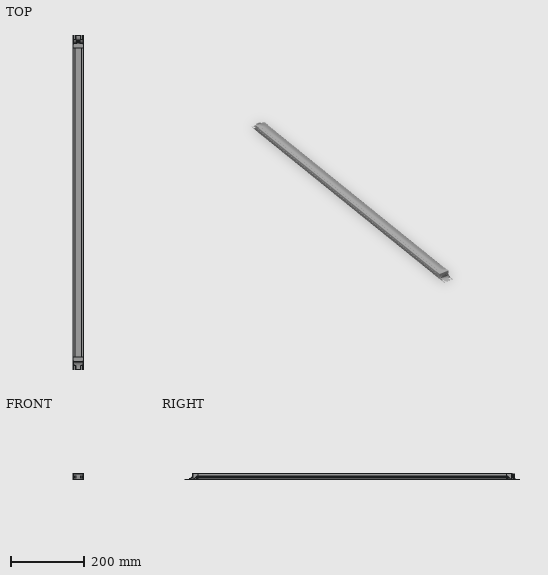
import cadquery as cq
import math

total_width = 30.0
total_length = 915.0
total_height = 17.5
half_length = total_length / 2

sheet = 0.5
bend_radius = 1.5
wall_height = 10.0
wall_foot_inset = 23.0
wall_end_slope = 9.5

groove_bottom = 4.5
groove_height = 2.5
groove_depth = 0.2

slot_width = 4.5
slot_depth = 11.2
slot_offset = 9.6

inner_width = total_width - 2 * sheet
inner_bend = bend_radius - sheet

cover_half_length = 423.0
cover_edge_radius = 2.5
strip_width = 19.0
strip_height = 0.3

cap_end_inset = 20.5
cap_end = half_length - cap_end_inset
cap_draft = 0.8
cap_edge_radius = 0.5
cheek_thickness = 1.5
cheek_slope_top = 9.0
cheek_slope_reach = 5.0
foot_reach = 8.5
foot_height = 3.6

face_setback = 1.0
lip_height = 15.0

recess_offset = 8.3
recess_width = 4.0
recess_bottom = 4.5
recess_height = 6.0
recess_depth = 1.0

plug_width = 10.5
plug_reach = 9.0
plug_bottom = 4.0
plug_top = lip_height
plug_groove_count = 2
plug_groove_width = 1.5
plug_groove_depth = 1.0


def rounded_bottom_bar(width, height, length, radius):
    """Bar along Y, standing on Z = 0, with its two lower long edges rounded."""
    bar = cq.Workplane("XY").box(width, length, height, centered=(True, True, False))
    return bar.edges("|Y and <Z").fillet(radius)


def make_channel_space():
    """Everything that fits between the side walls, above the floor."""
    space = rounded_bottom_bar(inner_width, total_height, total_length, inner_bend)
    return space.translate((0, 0, sheet))


def make_base():
    outside = rounded_bottom_bar(total_width, wall_height, total_length, bend_radius)
    base = outside.cut(make_channel_space())

    wall_foot = half_length - wall_foot_inset
    wall_top = wall_foot - wall_end_slope
    trim_outline = [
        (wall_foot, sheet),
        (half_length, sheet),
        (half_length, wall_height),
        (wall_top, wall_height),
    ]
    trim = cq.Workplane("YZ").polyline(trim_outline).close().extrude(total_width / 2, both=True)
    base = base.cut(trim).cut(trim.mirror("XZ"))

    groove = cq.Workplane("XY").box(
        2 * groove_depth, total_length, groove_height, centered=(True, True, False)
    )
    slot_length = 2 * slot_depth
    slot = cq.Workplane("XY").slot2D(slot_length, slot_width, angle=90).extrude(sheet)
    for side in (-1, 1):
        base = base.cut(groove.translate((side * total_width / 2, 0, groove_bottom)))
        for end in (-1, 1):
            base = base.cut(slot.translate((side * slot_offset, end * half_length, 0)))
    return base


def make_cover():
    length = 2 * cover_half_length
    body_height = total_height - strip_height - sheet
    body = rounded_bottom_bar(inner_width, body_height, length, inner_bend)
    body = body.edges("|Y and >Z").fillet(cover_edge_radius)
    strip = cq.Workplane("XY").box(strip_width, length, strip_height, centered=(True, True, False))
    return body.union(strip.translate((0, 0, body_height))).translate((0, 0, sheet))


def make_end_cap():
    """Cap for the +Y end, without a plug."""
    draft_slope = math.tan(math.radians(cap_draft))
    top_drop = (cap_end - cover_half_length) * draft_slope
    foot_end = cap_end + foot_reach
    foot_half_width = inner_width / 2 - (foot_end - cover_half_length) * draft_slope

    side_outline = [
        (cover_half_length, sheet),
        (foot_end, sheet),
        (foot_end, foot_height),
        (cap_end + cheek_slope_reach, foot_height),
        (cap_end, cheek_slope_top),
        (cap_end, total_height - top_drop),
        (cover_half_length, total_height),
    ]
    cap = cq.Workplane("YZ").polyline(side_outline).close().extrude(inner_width / 2, both=True)
    plan_outline = [
        (-inner_width / 2, cover_half_length),
        (inner_width / 2, cover_half_length),
        (foot_half_width, foot_end),
        (-foot_half_width, foot_end),
    ]
    plan = cq.Workplane("XY").polyline(plan_outline).close().extrude(total_height)
    cap = cap.intersect(plan)
    cap = cap.faces(">Z").edges("not <Y").fillet(cap_edge_radius)

    end_face = cap_end - face_setback
    clearance = cq.Workplane("XY").box(
        2 * (foot_half_width - cheek_thickness),
        foot_end - end_face,
        lip_height,
        centered=(True, False, False),
    )
    cap = cap.cut(clearance.translate((0, end_face, 0)))
    recess = cq.Workplane("XY").box(
        recess_width, 2 * recess_depth, recess_height, centered=(True, True, False)
    )
    for side in (-1, 1):
        cap = cap.cut(recess.translate((side * recess_offset, end_face, recess_bottom)))
    return cap.intersect(make_channel_space())


def make_plug():
    plug_height = plug_top - plug_bottom
    plug = cq.Workplane("XY").box(plug_width, plug_reach, plug_height, centered=(True, False, False))

    core = cq.Workplane("XY").box(
        plug_width - 2 * plug_groove_depth,
        plug_groove_width,
        plug_height - 2 * plug_groove_depth,
        centered=(True, True, False),
    ).translate((0, 0, plug_groove_depth))
    ring = cq.Workplane("XY").box(
        plug_width, plug_groove_width, plug_height, centered=(True, True, False)
    ).cut(core)
    groove_pitch = plug_reach / (plug_groove_count + 1)
    for number in range(1, plug_groove_count + 1):
        plug = plug.cut(ring.translate((0, number * groove_pitch, 0)))
    return plug.translate((0, cap_end - face_setback, plug_bottom))


base = make_base()
cover = make_cover()
plug_cap = make_end_cap().union(make_plug())
plain_cap = make_end_cap().mirror("XZ")

bodies = [base, cover, plug_cap, plain_cap]
result = cq.Compound.makeCompound([body.solids().val() for body in bodies])